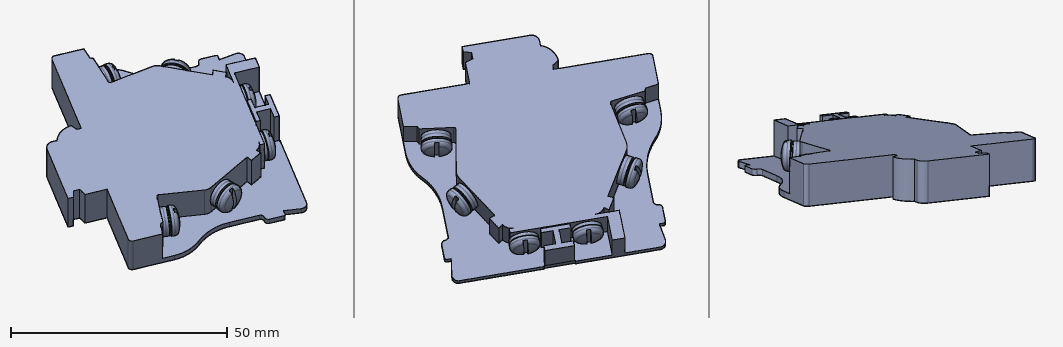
import cadquery as cq
import math

total_width = 60.0
total_depth = 54.5
total_height = 10.0
plate_thickness = 1.5

half_width = total_width / 2
shoulder_y = 9.5
edge_radius = 0.9

flank_bottom_y = 20.4
flank_bend_y = 27.25
flank_top_y = 35.6
waist_x = 24.1
ear_x = 26.0
ear_bottom_y = 43.8
ear_top_y = 48.65
ear_top_radius = 0.5
tip_bottom_x = 24.5
tip_top_x = 25.4
tip_radius = 1.5

ledge_outer_y = 17.5
seat_step = (-26.9, 18.0)
lower_seat_start = (-26.5, 18.7)
lower_seat_end = (-18.1, 19.85)
seat_corner_radius = 0.5
wall_vertex = (-20.15, 31.8)
wall_vertex_radius = 2.4
upper_seat_end = (-13.3, 43.4)
lug_outer = (-14.65, 44.0)
lug_top = (-12.95, 46.8)
lug_inner = (-11.95, 46.1)
block_top_y = 47.35
block_top_x = 9.65
cove_radius = 2.65

holder_left_x = -15.3
holder_wall_width = 3.0
holder_right_x = 10.6
flange_top_y = 48.4

foot_right_x = 12.95
foot_left_x = -4.9
foot_radius = 1.9
hook_neck = (-6.8, 8.45)
hook_tip = (-8.3, 7.5)
hook_belly = (-7.25, 4.75)
hook_end_y = 3.0
catch_x = 11.1
catch_outer_y = (1.3, 4.15)
catch_inner_y = (1.9, 3.4)

bridge_half_width = 3.5
bridge_web_width = 1.45
bridge_bottom_y = 48.65
bridge_top_y = 54.3
bridge_lower_flange = 1.0
bridge_upper_flange = 1.25
bridge_clearance = 0.2

screw_z = 5.65
head_radius = 3.6
head_height = 2.5
dome_radius = 7.8
rim_radius = 1.15
head_chamfer = 0.2
slot_width = 1.0
slot_depth = 1.25
washer_radius = 3.5
washer_thickness = 0.85
neck_radius = 2.7
neck_height = 0.35
top_screw_x = 7.45
lower_screw_offset = 3.9
upper_screw_offset = 4.1


def base_plate():
    """Thin plate with the full outline, down to the shoulder."""
    flank_turn = 2 * math.atan((half_width - waist_x) / (flank_top_y - flank_bottom_y))
    lower_radius = (flank_bend_y - flank_bottom_y) / math.sin(flank_turn)
    upper_radius = (flank_top_y - flank_bend_y) / math.sin(flank_turn)
    bend_x = half_width - lower_radius * (1 - math.cos(flank_turn))
    ear_radius = (ear_x - waist_x) / 2
    ear_middle_x = waist_x + ear_radius
    half = (
        cq.Workplane("XY")
        .moveTo(0, shoulder_y)
        .lineTo(-half_width, shoulder_y)
        .lineTo(-half_width, flank_bottom_y)
        .radiusArc((-bend_x, flank_bend_y), lower_radius)
        .radiusArc((-waist_x, flank_top_y), -upper_radius)
        .lineTo(-waist_x, ear_bottom_y - ear_radius)
        .radiusArc((-ear_middle_x, ear_bottom_y), -ear_radius)
        .radiusArc((-ear_x, ear_bottom_y + ear_radius), ear_radius)
        .lineTo(-ear_x, ear_top_y)
        .lineTo(-tip_bottom_x, ear_top_y)
        .lineTo(-tip_top_x, total_depth)
        .lineTo(0, total_depth)
        .close()
        .extrude(plate_thickness)
    )
    half = round_corner(half, (-ear_x, ear_top_y), ear_top_radius)
    half = round_corner(half, (-tip_top_x, total_depth), tip_radius)
    return half.union(half.mirror("YZ"))


def round_corner(body, corner, radius):
    """Round the upright edge of a body that stands at the given corner."""
    reach = 0.05
    box = cq.selectors.BoxSelector(
        (corner[0] - reach, corner[1] - reach, -reach),
        (corner[0] + reach, corner[1] + reach, total_height + reach),
    )
    return body.edges("|Z").edges(box).fillet(radius)


def raised_block():
    """Full-height block with the stepped, slanted screw seats on both sides."""
    half = (
        cq.Workplane("XY")
        .moveTo(0, shoulder_y)
        .lineTo(-half_width, shoulder_y)
        .lineTo(-half_width, ledge_outer_y)
        .lineTo(*seat_step)
        .lineTo(*lower_seat_start)
        .lineTo(*lower_seat_end)
        .lineTo(*wall_vertex)
        .lineTo(*upper_seat_end)
        .lineTo(*lug_outer)
        .lineTo(*lug_top)
        .lineTo(*lug_inner)
        .radiusArc((-block_top_x, block_top_y), cove_radius)
        .lineTo(0, block_top_y)
        .close()
        .extrude(total_height)
    )
    half = round_corner(half, lower_seat_end, seat_corner_radius)
    half = round_corner(half, wall_vertex, wall_vertex_radius)
    return half.union(half.mirror("YZ"))


def label_holder():
    """L-shaped wall: an upright on the left and a flange over the block."""
    return (
        cq.Workplane("XY")
        .moveTo(holder_left_x, block_top_y)
        .lineTo(holder_right_x, block_top_y)
        .lineTo(holder_right_x, flange_top_y)
        .lineTo(holder_left_x + holder_wall_width, flange_top_y)
        .lineTo(holder_left_x + holder_wall_width, total_depth)
        .lineTo(holder_left_x, total_depth)
        .close()
        .extrude(total_height)
    )


def rail_foot():
    """Foot with a rounded hook on the left and a catch groove on the right."""
    foot = (
        cq.Workplane("XY")
        .moveTo(hook_neck[0], shoulder_y)
        .lineTo(*hook_neck)
        .lineTo(*hook_tip)
        .threePointArc(hook_belly, (foot_left_x, hook_end_y))
        .lineTo(foot_left_x, 0)
        .lineTo(foot_right_x, 0)
        .lineTo(foot_right_x, catch_outer_y[0])
        .lineTo(catch_x, catch_inner_y[0])
        .lineTo(catch_x, catch_inner_y[1])
        .lineTo(foot_right_x, catch_outer_y[1])
        .lineTo(foot_right_x, shoulder_y)
        .close()
        .extrude(total_height)
    )
    return round_corner(foot, (foot_left_x, 0), foot_radius)


def bridge_notch():
    """Shallow notch in the plate edge in front of the bridge."""
    return (
        cq.Workplane("XY")
        .rect(2 * (bridge_half_width + bridge_clearance), 2 * (total_depth - bridge_top_y))
        .extrude(plate_thickness)
        .translate((0, total_depth, 0))
    )


def make_housing():
    body = base_plate().union(raised_block())
    for side in (-1, 1):
        body = round_corner(body, (side * half_width, shoulder_y), edge_radius)
    return body.union(label_holder()).union(rail_foot()).cut(bridge_notch())


def make_bridge():
    depth = bridge_top_y - bridge_bottom_y
    web_depth = depth - bridge_lower_flange - bridge_upper_flange
    pocket_width = bridge_half_width - bridge_web_width / 2
    body = (
        cq.Workplane("XY", origin=(0, bridge_bottom_y, plate_thickness))
        .rect(2 * bridge_half_width, depth)
        .extrude(total_height - plate_thickness)
        .translate((0, depth / 2, 0))
    )
    pocket = cq.Workplane("XY").box(pocket_width, web_depth, total_height, centered=(False, False, False))
    pocket = pocket.translate((bridge_web_width / 2, bridge_bottom_y + bridge_lower_flange, plate_thickness))
    return body.cut(pocket).cut(pocket.mirror("YZ"))


def screw_head(base):
    """Slotted domed head, standing on Y = base with its axis along +Y."""
    top = base + head_height
    rim = top - dome_radius + math.sqrt(dome_radius**2 - head_radius**2)
    head = (
        cq.Workplane("XY")
        .moveTo(0, base)
        .lineTo(head_radius, base)
        .lineTo(head_radius, rim)
        .radiusArc((0, top), -dome_radius)
        .close()
        .revolve(360, (0, 0), (0, 1))
    )
    rim_edge = cq.selectors.NearestToPointSelector((0, rim, 0))
    head = head.edges(rim_edge).fillet(rim_radius).faces("<Y").edges().chamfer(head_chamfer)
    slot = cq.Workplane("XY").box(slot_width, 2 * slot_depth, 3 * head_radius)
    return head.cut(slot.translate((0, top, 0)))


def disc(base, radius, thickness):
    """Round disc on Y = base with its axis along +Y."""
    return cq.Workplane("XZ", origin=(0, base, 0)).circle(radius).extrude(-thickness)


def make_screw(washers, neck):
    """Screw sitting on Y = 0: a stack of washers, a neck if it has one, and the head.

    The unions are left uncleaned to keep the seam between two washers.
    """
    body = disc(0, washer_radius, washer_thickness)
    for i in range(1, washers):
        body = body.union(disc(i * washer_thickness, washer_radius, washer_thickness), clean=False)
    base = washers * washer_thickness
    if neck:
        body = body.union(disc(base, neck_radius, neck), clean=False)
        base += neck
    return body.union(screw_head(base), clean=False)


def on_seat(screw, start, end, offset):
    """Stand a screw on the slanted seat that runs from start to end."""
    angle = math.atan2(end[1] - start[1], end[0] - start[0])
    place = (start[0] + offset * math.cos(angle), start[1] + offset * math.sin(angle), screw_z)
    return screw.rotate((0, 0, 0), (0, 0, 1), math.degrees(angle)).translate(place)


def make_screws():
    short = make_screw(washers=1, neck=0)
    tall = make_screw(washers=2, neck=neck_height)
    left = [
        short.translate((-top_screw_x, flange_top_y, screw_z)),
        on_seat(tall, wall_vertex, upper_seat_end, upper_screw_offset),
        on_seat(tall, lower_seat_start, lower_seat_end, lower_screw_offset),
    ]
    return left + [screw.mirror("YZ") for screw in left]


housing = make_housing()
bridge = make_bridge()
screws = make_screws()
result = cq.Compound.makeCompound(
    [housing.solids().val(), bridge.solids().val(), *[screw.solids().val() for screw in screws]]
)